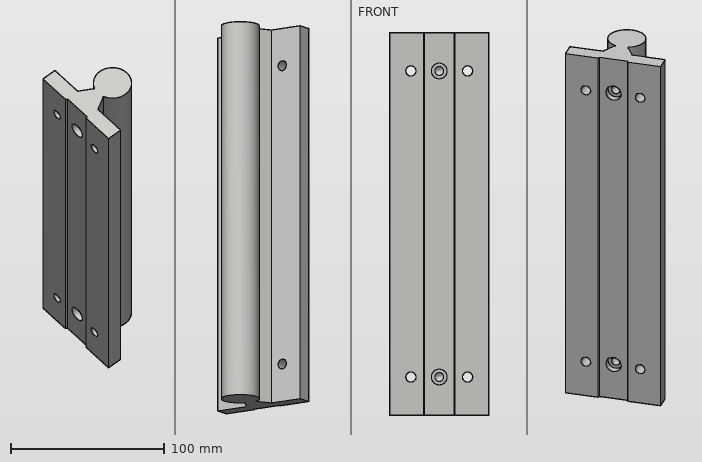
import cadquery as cq
import math

length = 250.0
base_width = 65.0
total_depth = 44.5
base_thickness = 10.5

shaft_radius = 12.5
shaft_y = total_depth - shaft_radius
web_foot_width = 20.0
web_neck_width = 8.5
neck_half = web_neck_width / 2
neck_y = shaft_y - math.sqrt(shaft_radius**2 - neck_half**2)

groove_mouth_width = 20.5
groove_floor_width = 19.0
groove_depth = 1.2

row_inset = 25.0
mount_hole_diameter = 6.5
mount_hole_spacing = 37.0
bore_diameter = 10.2
bore_depth = 6.2
drill_diameter = 5.8
drill_depth = 22.5
drill_point_angle = 118.0
row_heights = (row_inset, length - row_inset)


def bar(points):
    """Full-length bar with the given XY outline."""
    return cq.Workplane("XY").polyline(points).close().extrude(length)


def trapezoid(width_start, y_start, width_end, y_end):
    """Symmetric four-sided XY outline."""
    return [
        (-width_start / 2, y_start),
        (width_start / 2, y_start),
        (width_end / 2, y_end),
        (-width_end / 2, y_end),
    ]


def hole(x, z, diameter, depth, start_y=0.0):
    """Cylinder running toward +Y from start_y."""
    return cq.Workplane(
        cq.Solid.makeCylinder(diameter / 2, depth, cq.Vector(x, start_y, z), cq.Vector(0, 1, 0))
    )


def screw_hole(z):
    """Counterbored blind hole with a drill-point bottom."""
    radius = drill_diameter / 2
    point_length = radius / math.tan(math.radians(drill_point_angle / 2))
    point = cq.Solid.makeCone(
        radius, 0, point_length, cq.Vector(0, drill_depth, z), cq.Vector(0, 1, 0)
    )
    bore = hole(0, z, bore_diameter, bore_depth)
    return bore.union(hole(0, z, drill_diameter, drill_depth)).union(cq.Workplane(point))


base = bar(trapezoid(base_width, 0, base_width, base_thickness))
web = bar(trapezoid(web_foot_width, base_thickness, web_neck_width, neck_y))
shaft = cq.Workplane("XY").center(0, shaft_y).circle(shaft_radius).extrude(length)
neck_core = bar(trapezoid(web_neck_width, neck_y, web_neck_width, shaft_y))
result = base.union(web).union(neck_core).union(shaft)

result = result.cut(bar(trapezoid(groove_mouth_width, 0, groove_floor_width, groove_depth)))

for z in row_heights:
    for side in (-1, 1):
        x = side * mount_hole_spacing / 2
        result = result.cut(hole(x, z, mount_hole_diameter, base_thickness))
    result = result.cut(screw_hole(z))

result = result.translate((0, -total_depth / 2, -length / 2))